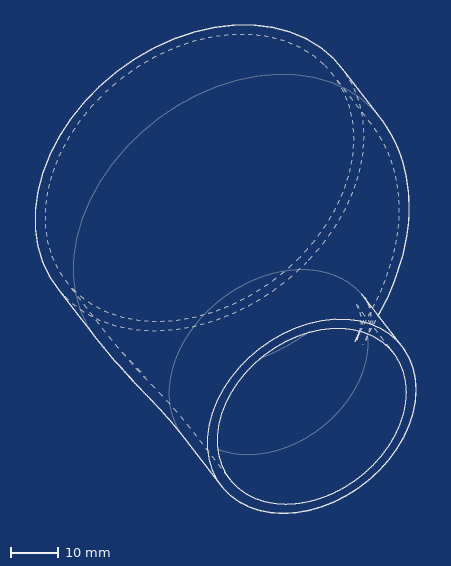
import cadquery as cq

length = 90.0
collar_length = 20.0
large_outer_diameter = 76.1
large_inner_diameter = 71.5
small_outer_diameter = 48.3
small_inner_diameter = 43.7

taper_length = length - 2 * collar_length
small_end_y = -(large_outer_diameter - small_outer_diameter) / 2
taper_steps = 10


def section_plane(x, y):
    """Plane across the pipe at distance x, centred at offset y."""
    return cq.Plane(origin=(x, y, 0), xDir=(0, 1, 0), normal=(1, 0, 0))


def collar(x, y, diameter):
    """Straight collar starting at x."""
    return cq.Workplane(section_plane(x, y)).circle(diameter / 2).extrude(collar_length)


def taper(large_diameter, small_diameter):
    """Smooth S-shaped transition through circular sections, level at both ends."""
    sections = []
    for step in range(taper_steps + 1):
        fraction = step / taper_steps
        blend = fraction**2 * (3 - 2 * fraction)
        diameter = large_diameter + blend * (small_diameter - large_diameter)
        plane = section_plane(collar_length + fraction * taper_length, blend * small_end_y)
        circle = cq.Edge.makeCircle(diameter / 2, plane.origin, plane.zDir)
        sections.append(cq.Wire.assembleEdges([circle]))
    return cq.Workplane(cq.Solid.makeLoft(sections))


def reducer_body(large_diameter, small_diameter):
    """Solid reducer: large collar, taper and small collar."""
    large_collar = collar(0, 0, large_diameter)
    small_collar = collar(length - collar_length, small_end_y, small_diameter)
    return large_collar.union(taper(large_diameter, small_diameter)).union(small_collar)


outer_body = reducer_body(large_outer_diameter, small_outer_diameter)
bore = reducer_body(large_inner_diameter, small_inner_diameter)
result = outer_body.cut(bore)